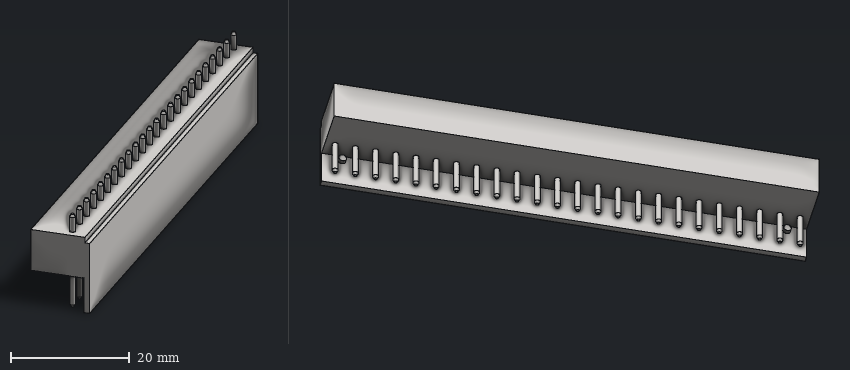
import cadquery as cq

length = 84.0
width = 10.6
height = 17.1

block_bottom = 6.4
block_height = 7.6
wall_thickness = 1.1
ledge_width = 0.8
ledge_depth = 1.0

pin_count = 24
pin_pitch = length / pin_count
pin_diameter = 1.0
tip_length = 0.5
tip_inset = 0.25
pin_x = 6.9

stud_diameter = 1.35
stud_reach = 0.75
stud_drop = 1.0

block_top = block_bottom + block_height
wall_inner_x = width - wall_thickness
half_row = (pin_count - 1) * pin_pitch / 2
stud_y = half_row - pin_pitch / 2


def make_housing():
    """Extrude the stepped end profile along the full length."""
    profile = [
        (0, block_bottom),
        (wall_inner_x, block_bottom),
        (wall_inner_x, 0),
        (width, 0),
        (width, block_top - ledge_depth),
        (width - ledge_width, block_top - ledge_depth),
        (width - ledge_width, block_top),
        (0, block_top),
    ]
    return (
        cq.Workplane("XZ")
        .polyline(profile)
        .close()
        .extrude(length / 2, both=True)
    )


def make_pin(y):
    """One round pin with both tips tapered."""
    return (
        cq.Workplane("XY")
        .center(pin_x, y)
        .circle(pin_diameter / 2)
        .extrude(height)
        .faces("<Z or >Z")
        .chamfer(tip_length, tip_inset)
    )


def make_stud(y):
    """One round stud reaching out of the wall below the block."""
    return (
        cq.Workplane("YZ", origin=(wall_inner_x, y, block_bottom - stud_drop))
        .circle(stud_diameter / 2)
        .extrude(-stud_reach)
    )


result = make_housing()
for index in range(pin_count):
    result = result.union(make_pin(index * pin_pitch - half_row))
for side in (-1, 1):
    result = result.union(make_stud(side * stud_y))